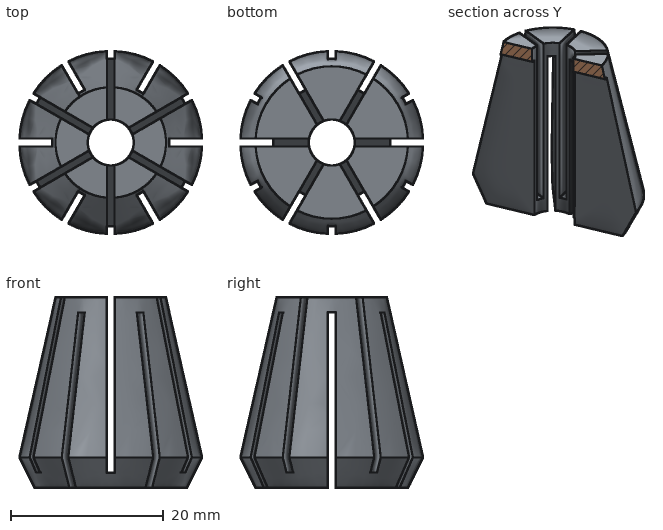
import cadquery as cq

height = 25.0
shoulder_height = 4.0
bottom_diameter = 20.0
shoulder_diameter = 24.0
top_diameter = 14.5
bore_diameter = 6.0

slot_width = 1.0
slots_per_set = 6
slot_pitch = 360.0 / slots_per_set
web_thickness = 2.0
slot_height = height - web_thickness
slot_reach = shoulder_diameter


def make_body():
    """Revolve the double-tapered profile around Z, including the through bore."""
    return (
        cq.Workplane("XZ")
        .moveTo(bore_diameter / 2, 0)
        .lineTo(bottom_diameter / 2, 0)
        .lineTo(shoulder_diameter / 2, shoulder_height)
        .lineTo(top_diameter / 2, height)
        .lineTo(bore_diameter / 2, height)
        .close()
        .revolve(360, (0, 0, 0), (0, 1, 0))
    )


def cut_slots(body, first_angle, floor_height):
    """Cut one set of radial slots from the bore axis out through the wall."""
    slot = (
        cq.Workplane("XY")
        .workplane(offset=floor_height)
        .center(slot_reach / 2, 0)
        .rect(slot_reach, slot_width)
        .extrude(slot_height)
    )
    for index in range(slots_per_set):
        angle = first_angle + index * slot_pitch
        body = body.cut(slot.rotate((0, 0, 0), (0, 0, 1), angle))
    return body


body = make_body()
body = cut_slots(body, first_angle=0.0, floor_height=0.0)
result = cut_slots(body, first_angle=slot_pitch / 2, floor_height=web_thickness)